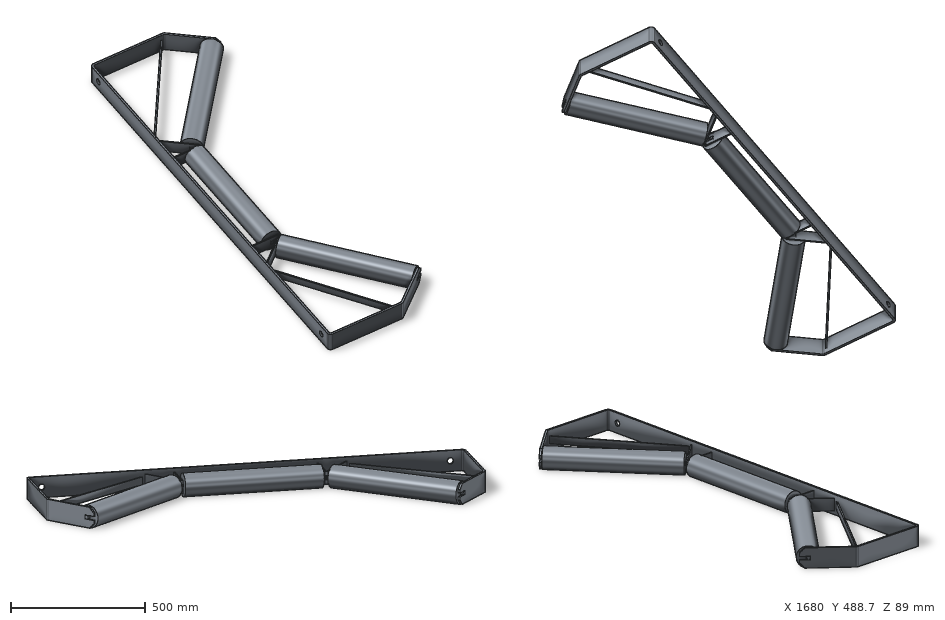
import cadquery as cq
import math

ROLLER_DIAMETER = 89.0
ROLLER_LENGTH = 531.0
SHAFT_DIAMETER = 15.0

CENTER_AXIS_Y = 102.0
WING_ANGLE = 40
WING_ROLLER_X = 510.0
WING_ROLLER_Y = 284.0

FRAME_LENGTH = 1680.0
STRAP_HEIGHT = 80.0
FRAME_THICKNESS = 8.0
FRAME_BEND_RADIUS = 15.0
FRAME_GAP = 3.0
FRAME_REACH = 34.0
TIP_CHAMFER = 20.0
MOUNT_HOLE_DIAMETER = 24.0
MOUNT_HOLE_INSET = 57.0

BRACKET_THICKNESS = 5.0
BRACKET_HEIGHT = 50.0
BRACKET_GAP = 7.0
BRACKET_REACH = 29.0

BRACE_THICKNESS = 5.9
BRACE_HEIGHT = 30.0
BRACE_FOOT_X = 396.0
BRACE_TOP_Y = 310.0

HALF_LENGTH = FRAME_LENGTH / 2
SIDE_INNER_X = HALF_LENGTH - FRAME_THICKNESS
HALF_ROLLER = ROLLER_LENGTH / 2
FRAME_NEAR = HALF_ROLLER + FRAME_GAP
FRAME_FAR = FRAME_NEAR + FRAME_THICKNESS
BRACKET_NEAR = HALF_ROLLER + BRACKET_GAP
BRACKET_FAR = BRACKET_NEAR + BRACKET_THICKNESS
SIN = math.sin(math.radians(WING_ANGLE))
COS = math.cos(math.radians(WING_ANGLE))


def wing_point(along, across):
    """Point on the right side, measured from the outer roller's middle:
    along its axis (outward) and square to it (away from the base)."""
    return (
        WING_ROLLER_X + along * COS - across * SIN,
        WING_ROLLER_Y + along * SIN + across * COS,
    )


def wing_across_at_x(along, x):
    """Distance across the outer roller axis at which a line at `along` reaches x."""
    return (WING_ROLLER_X + along * COS - x) / SIN


def wing_across_at_y(along, y):
    """Distance across the outer roller axis at which a line at `along` reaches y."""
    return (y - WING_ROLLER_Y - along * SIN) / COS


def plate(points, height):
    """Flat outline extruded evenly above and below the mid-plane."""
    return cq.Workplane("XY").polyline(points).close().extrude(height / 2, both=True)


def mirrored(body):
    return body.mirror("YZ")


def center_plane():
    """Plane whose x runs along the middle roller and whose y points away from the base."""
    return cq.Plane(origin=(0, CENTER_AXIS_Y, 0), xDir=(1, 0, 0), normal=(0, 0, 1))


def wing_plane():
    """The same for the right outer roller."""
    return cq.Plane(
        origin=(WING_ROLLER_X, WING_ROLLER_Y, 0), xDir=(COS, SIN, 0), normal=(0, 0, 1)
    )


def shaft_slot(plane, near, far):
    """Slot through a support lying from `near` to `far` along a roller; it holds the
    shaft at its bottom and opens at the support's tip."""
    bottom = -SHAFT_DIAMETER / 2
    top = FRAME_REACH
    return (
        cq.Workplane(plane)
        .center((near + far) / 2, (bottom + top) / 2)
        .rect(abs(far - near), top - bottom)
        .extrude(SHAFT_DIAMETER / 2, both=True)
    )


def make_frame():
    right = [
        (HALF_LENGTH, 0),
        wing_point(FRAME_FAR, wing_across_at_x(FRAME_FAR, HALF_LENGTH)),
        wing_point(FRAME_FAR, FRAME_REACH),
        wing_point(FRAME_NEAR, FRAME_REACH),
        wing_point(FRAME_NEAR, wing_across_at_x(FRAME_NEAR, SIDE_INNER_X)),
        (SIDE_INNER_X, FRAME_THICKNESS),
    ]
    left = [(-x, y) for x, y in reversed(right)]
    frame = plate(right + left, STRAP_HEIGHT)

    outer_bends = [right[0], right[1], left[-1], left[-2]]
    inner_bends = [right[-1], right[-2], left[0], left[1]]
    frame = round_bends(frame, outer_bends, FRAME_BEND_RADIUS)
    frame = round_bends(frame, inner_bends, FRAME_BEND_RADIUS - FRAME_THICKNESS)

    for cutter in (shaft_slot(wing_plane(), FRAME_NEAR, FRAME_FAR), tip_corners()):
        frame = frame.cut(cutter).cut(mirrored(cutter))

    holes = (
        cq.Workplane("XZ")
        .pushPoints([(side * (HALF_LENGTH - MOUNT_HOLE_INSET), 0) for side in (-1, 1)])
        .circle(MOUNT_HOLE_DIAMETER / 2)
        .extrude(-FRAME_THICKNESS)
    )
    return frame.cut(holes)


def round_bends(strap, corners, radius):
    for x, y in corners:
        strap = strap.edges(cq.selectors.NearestToPointSelector((x, y, 0))).fillet(radius)
    return strap


def tip_corners():
    """Two wedges that chamfer the tip of the right sloped support."""
    half = STRAP_HEIGHT / 2
    side_plane = cq.Plane(
        origin=(*wing_point(FRAME_NEAR, FRAME_REACH), 0), xDir=(-SIN, COS, 0), normal=(COS, SIN, 0)
    )
    wedges = cq.Workplane(side_plane)
    for side in (-1, 1):
        wedges = (
            wedges.moveTo(0, side * half)
            .lineTo(-TIP_CHAMFER, side * half)
            .lineTo(0, side * (half - TIP_CHAMFER))
            .close()
        )
    return wedges.extrude(FRAME_THICKNESS)


def make_bracket():
    foot_y = FRAME_THICKNESS
    top_y = CENTER_AXIS_Y + BRACKET_REACH
    under_top_y = top_y - BRACKET_THICKNESS
    bracket = plate(
        [
            (BRACKET_NEAR, foot_y),
            (BRACKET_NEAR, top_y),
            wing_point(-BRACKET_NEAR, wing_across_at_y(-BRACKET_NEAR, top_y)),
            wing_point(-BRACKET_NEAR, wing_across_at_y(-BRACKET_NEAR, foot_y)),
            wing_point(-BRACKET_FAR, wing_across_at_y(-BRACKET_FAR, foot_y)),
            wing_point(-BRACKET_FAR, wing_across_at_y(-BRACKET_FAR, under_top_y)),
            (BRACKET_FAR, under_top_y),
            (BRACKET_FAR, foot_y),
        ],
        BRACKET_HEIGHT,
    )
    center_slot = shaft_slot(center_plane(), BRACKET_NEAR, BRACKET_FAR)
    wing_slot = shaft_slot(wing_plane(), -BRACKET_FAR, -BRACKET_NEAR)
    return bracket.cut(center_slot).cut(wing_slot)


def make_brace():
    run = SIDE_INNER_X - BRACE_FOOT_X
    rise = BRACE_TOP_Y - FRAME_THICKNESS
    slope_length = math.hypot(run, rise)
    foot_width = BRACE_THICKNESS * slope_length / rise
    top_width = BRACE_THICKNESS * slope_length / run
    return plate(
        [
            (BRACE_FOOT_X, FRAME_THICKNESS),
            (BRACE_FOOT_X + foot_width, FRAME_THICKNESS),
            (SIDE_INNER_X, BRACE_TOP_Y - top_width),
            (SIDE_INNER_X, BRACE_TOP_Y),
        ],
        BRACE_HEIGHT,
    )


def make_roller(plane, shaft_start, shaft_end):
    axis = cq.Plane(origin=plane.origin.toTuple(), xDir=(0, 0, 1), normal=plane.xDir.toTuple())

    def rod(start, end, diameter):
        return cq.Workplane(axis).workplane(offset=start).circle(diameter / 2).extrude(end - start)

    barrel = rod(-HALF_ROLLER, HALF_ROLLER, ROLLER_DIAMETER)
    return barrel.union(rod(shaft_start, shaft_end, SHAFT_DIAMETER))


frame = make_frame()
bracket = make_bracket()
brace = make_brace()
center_roller = make_roller(center_plane(), -BRACKET_FAR, BRACKET_FAR)
wing_roller = make_roller(wing_plane(), -BRACKET_FAR, FRAME_FAR)

bodies = [frame, center_roller]
for right_body in (bracket, brace, wing_roller):
    bodies += [right_body, mirrored(right_body)]

result = cq.Compound.makeCompound([body.val() for body in bodies])